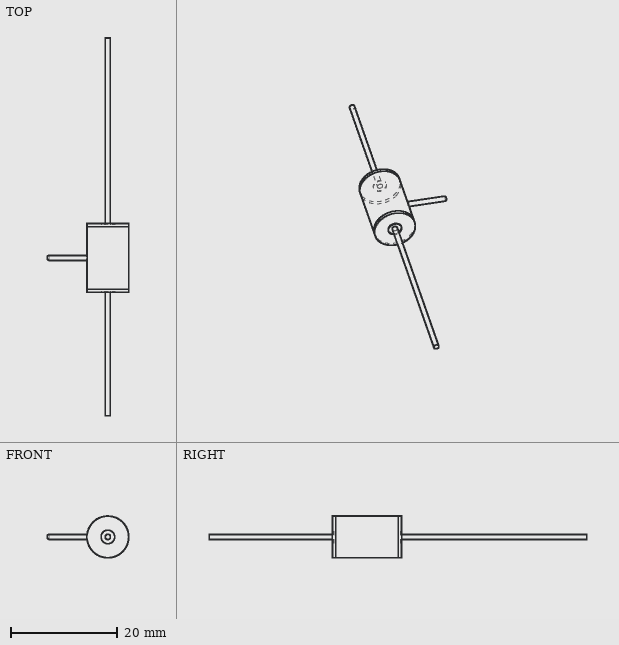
import cadquery as cq

tube_diameter = 7.9
tube_length = 13.0
disc_thickness = 0.65
recess_diameter = 2.55
recess_depth = 0.2

lead_diameter = 1.0
overall_length = 71.2
front_lead_end = 29.75
rear_lead_end = overall_length - front_lead_end
pin_diameter = 1.0
overall_width = 15.4
pin_reach = overall_width - tube_diameter / 2
pin_tip_fillet = 0.4


def cylinder_along_y(diameter, start, end):
    """Cylinder on the tube axis between two Y positions."""
    return (
        cq.Workplane("XZ", origin=(0, start, 0))
        .circle(diameter / 2)
        .extrude(start - end)
    )


def make_tube():
    """Tube between the end discs, with the side pin at mid-length."""
    inner_end = tube_length / 2 - disc_thickness
    tube_body = cylinder_along_y(tube_diameter, -inner_end, inner_end)
    pin = (
        cq.Workplane("YZ")
        .circle(pin_diameter / 2)
        .extrude(-pin_reach)
        .faces("<X")
        .edges()
        .fillet(pin_tip_fillet)
    )
    return tube_body.union(pin)


def make_electrode(side, lead_end):
    """End disc with its lead standing in a shallow recess; side is -1 or 1 along Y."""
    outer_end = tube_length / 2
    inner_end = outer_end - disc_thickness
    recess_floor = outer_end - recess_depth
    disc = cylinder_along_y(tube_diameter, side * inner_end, side * outer_end)
    recess = cylinder_along_y(recess_diameter, side * recess_floor, side * outer_end)
    lead = cylinder_along_y(lead_diameter, side * inner_end, side * lead_end)
    return disc.cut(recess).union(lead)


tube = make_tube()
electrodes = [make_electrode(side, end) for side, end in ((-1, front_lead_end), (1, rear_lead_end))]

result = cq.Compound.makeCompound([tube.val(), *[electrode.val() for electrode in electrodes]])